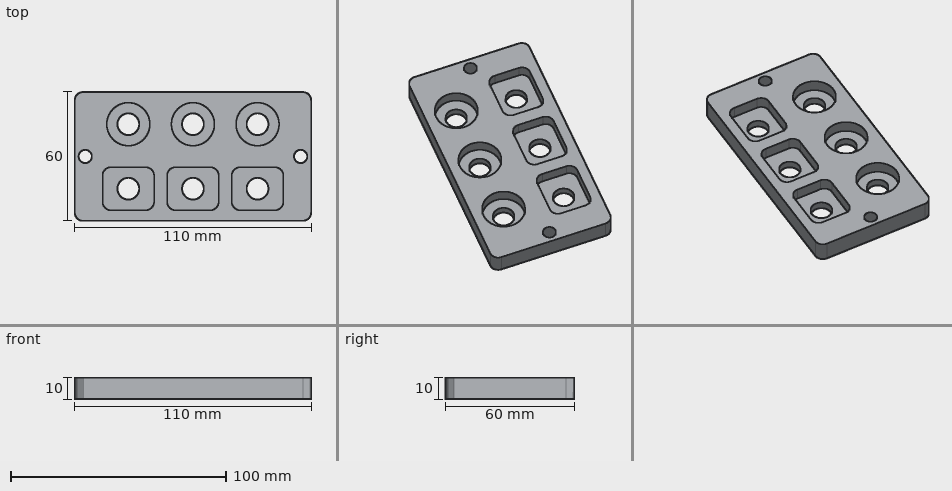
import cadquery as cq

length = 110.0
width = 60.0
thickness = 10.0
corner_radius = 4.0

column_pitch = 30.0
row_offset = width / 4
column_positions = [-column_pitch, 0, column_pitch]
through_diameter = 10.0
recess_depth = 6.0
round_recess_diameter = 2 * through_diameter
pocket_length = 24.0
pocket_width = round_recess_diameter
pocket_corner_radius = corner_radius

mount_diameter = 6.0
mount_offset = 50.0


def make_plate():
    """Rounded plate resting on Z = 0, centred in X and Y."""
    plate = cq.Workplane("XY").box(length, width, thickness, centered=(True, True, False))
    return plate.edges("|Z").fillet(corner_radius)


def cut_round_recesses(body):
    """Counterbored holes along the +Y row."""
    points = [(x, row_offset) for x in column_positions]
    top = body.faces(">Z").workplane(origin=(0, 0, thickness)).pushPoints(points)
    return top.cboreHole(through_diameter, round_recess_diameter, recess_depth)


def cut_pockets(body):
    """Rounded rectangular pockets with through holes along the -Y row."""
    points = [(x, -row_offset) for x in column_positions]
    pockets = (
        cq.Workplane("XY", origin=(0, 0, thickness - recess_depth))
        .pushPoints(points)
        .rect(pocket_length, pocket_width)
        .extrude(recess_depth)
        .edges("|Z")
        .fillet(pocket_corner_radius)
    )
    holes = cq.Workplane("XY").pushPoints(points).circle(through_diameter / 2).extrude(thickness)
    return body.cut(pockets).cut(holes)


def cut_mount_holes(body):
    """Plain through holes on the X axis, one at each end."""
    points = [(-mount_offset, 0), (mount_offset, 0)]
    holes = cq.Workplane("XY").pushPoints(points).circle(mount_diameter / 2).extrude(thickness)
    return body.cut(holes)


result = make_plate()
result = cut_round_recesses(result)
result = cut_pockets(result)
result = cut_mount_holes(result)